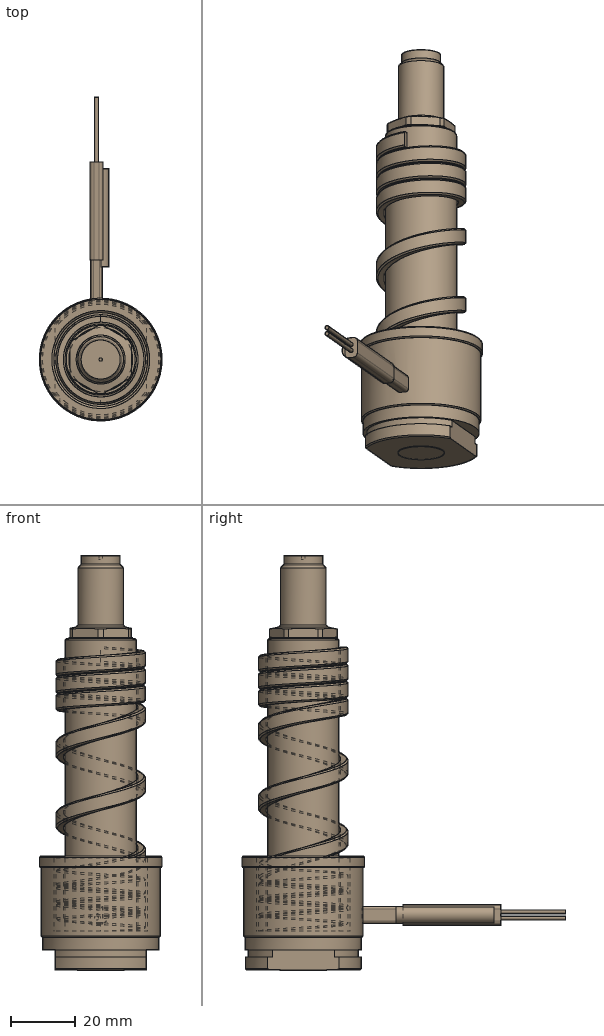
import cadquery as cq
import math

total_height = 128.2
foot_height = 0.3
groove_bottom = 4.2
groove_top = 6.4
cup_bottom = 10.3
cup_floor = 12.2
flange_bottom = 31.8
cup_top = 35.4
barrel_top = 102.5
nut_bottom = 103.0
nut_edge_top = 105.5
nut_top = 106.1
shaft_bottom = 106.8
shaft_top = 124.4
shaft_bevel_top = 125.1

foot_radius = 7.2
base_radius = 18.0
groove_radius = 17.0
cup_radius = 18.5
cup_bore_radius = 14.5
cup_bore_bevel = 0.6
flange_radius = 19.0
barrel_radius = 11.0
seat_radius = 9.9
shaft_radius = 7.0
shaft_bevel_radius = 6.4
tip_radius = 6.0
edge_break = 0.4

base_flat_width = 28.2
nut_across_flats = 19.0
nut_corner_radius = 10.5
nut_collar_radius = 7.5
centre_hole_radius = 0.5
centre_hole_depth = 1.3

spring_inner_radius = 11.5
spring_outer_radius = 13.8
spring_wire_height = 5.0
spring_wire_chamfer = 0.5
spring_top = 100.0
spring_end_angle = 90.0
closed_coil_gap = 0.32
closed_pitch = spring_wire_height + closed_coil_gap
open_pitch = 21.9
upper_closed_turns = 3.2
open_turns = 2.3
lower_closed_turns = 3.0
pitch_blend_turns = 0.2
points_per_turn = 12

cable_x = -1.3
cable_z = 17.2
cable_start = 16.7
cable_width = 3.6
cable_height = 5.4
cable_round = 0.9
sleeve_start = 30.8
sleeve_end = 61.0
sleeve_width = 4.1
sleeve_height = 6.4
sleeve_round = 1.3
wire_end = 81.0
wire_radius = 0.6
wire_spacing = 1.9
rod_start = 28.6
rod_end = 59.0
rod_x = 0.0
rod_radius = 2.5


def make_housing():
    """Revolved base, groove, hollow cup and flange, with two flats across the base."""
    profile = [
        (0, 0),
        (foot_radius, 0),
        (foot_radius, foot_height),
        (base_radius - edge_break, foot_height),
        (base_radius, foot_height + edge_break),
        (base_radius, groove_bottom),
        (groove_radius, groove_bottom),
        (groove_radius, groove_top),
        (base_radius, groove_top),
        (base_radius, cup_bottom),
        (cup_radius - edge_break, cup_bottom),
        (cup_radius, cup_bottom + edge_break),
        (cup_radius, flange_bottom),
        (flange_radius - edge_break, flange_bottom),
        (flange_radius, flange_bottom + edge_break),
        (flange_radius, cup_top - edge_break),
        (flange_radius - edge_break, cup_top),
        (cup_bore_radius + cup_bore_bevel, cup_top),
        (cup_bore_radius, cup_top - cup_bore_bevel),
        (cup_bore_radius, cup_floor),
        (0, cup_floor),
    ]
    housing = cq.Workplane("XZ").polyline(profile).close().revolve(360, (0, 0), (0, 1))
    stock_size = 4 * base_radius
    side_stock = (
        cq.Workplane("XY")
        .rect(stock_size, stock_size)
        .rect(base_flat_width, stock_size)
        .extrude(groove_top)
    )
    return housing.cut(side_stock)


def make_spindle():
    """Revolved barrel, shaft and tip with a small centre hole in the top."""
    profile = [
        (0, cup_floor),
        (barrel_radius, cup_floor),
        (barrel_radius, barrel_top - edge_break),
        (barrel_radius - edge_break, barrel_top),
        (seat_radius, barrel_top),
        (seat_radius, nut_bottom),
        (nut_collar_radius, nut_bottom),
        (nut_collar_radius, nut_top),
        (shaft_radius, shaft_bottom),
        (shaft_radius, shaft_top),
        (shaft_bevel_radius, shaft_bevel_top),
        (tip_radius, shaft_bevel_top + edge_break),
        (tip_radius, total_height),
        (0, total_height),
    ]
    spindle = cq.Workplane("XZ").polyline(profile).close().revolve(360, (0, 0), (0, 1))
    centre_hole = (
        cq.Workplane("XY", origin=(0, 0, total_height - centre_hole_depth))
        .circle(centre_hole_radius)
        .extrude(centre_hole_depth)
    )
    return spindle.cut(centre_hole)


def make_nut():
    """Hexagon with corners toward +Y and -Y, trimmed round and coned on top."""
    corner_diameter = nut_across_flats / math.cos(math.pi / 6)
    hexagon = (
        cq.Workplane("XY", origin=(0, 0, nut_bottom))
        .transformed(rotate=(0, 0, 90))
        .polygon(6, corner_diameter)
        .extrude(nut_top - nut_bottom)
    )
    envelope_profile = [
        (0, nut_bottom),
        (nut_corner_radius, nut_bottom),
        (nut_corner_radius, nut_edge_top),
        (nut_collar_radius, nut_top),
        (0, nut_top),
    ]
    envelope = cq.Workplane("XZ").polyline(envelope_profile).close().revolve(360, (0, 0), (0, 1))
    return hexagon.intersect(envelope)


def turns_past(turn, change):
    """Turns counted beyond a pitch change, eased in over the blend on both sides of it."""
    past = turn - change
    if past <= -pitch_blend_turns:
        return 0.0
    if past >= pitch_blend_turns:
        return past
    return (past + pitch_blend_turns) ** 2 / (4 * pitch_blend_turns)


def wire_centre_height(turn):
    """Mid-height of the wire after a number of turns down from the upper end."""
    stretched = turns_past(turn, upper_closed_turns) - turns_past(turn, upper_closed_turns + open_turns)
    drop = closed_pitch * turn + (open_pitch - closed_pitch) * stretched
    return spring_top - spring_wire_height / 2 - drop


def spring_edge(radius, offset):
    """Winding edge of the wire at a radius and at a height offset from its middle."""
    total_turns = upper_closed_turns + open_turns + lower_closed_turns
    steps = round(total_turns * points_per_turn)
    points = []
    for i in range(steps + 1):
        turn = total_turns * i / steps
        angle = math.radians(spring_end_angle) - 2 * math.pi * turn
        height = wire_centre_height(turn) + offset
        points.append(cq.Vector(radius * math.cos(angle), radius * math.sin(angle), height))
    return cq.Edge.makeSpline(points)


def make_spring():
    """Right-handed flat-wire spring with closed end coils; its foot is sunk into the cup floor."""
    half_height = spring_wire_height / 2
    bevel_radius = spring_outer_radius - spring_wire_chamfer
    bevel_height = half_height - spring_wire_chamfer
    section = [
        (spring_inner_radius, -half_height),
        (bevel_radius, -half_height),
        (spring_outer_radius, -bevel_height),
        (spring_outer_radius, bevel_height),
        (bevel_radius, half_height),
        (spring_inner_radius, half_height),
    ]
    edges = [spring_edge(radius, offset) for radius, offset in section]
    faces = [cq.Face.makeRuledSurface(edges[i - 1], edges[i]) for i in range(len(edges))]
    for end in (0, 1):
        corners = [edge.positionAt(end) for edge in edges]
        faces.append(cq.Face.makeFromWires(cq.Wire.makePolygon(corners, close=True)))
    return cq.Workplane(cq.Solid.makeSolid(cq.Shell.makeShell(faces)))


def rounded_bar(width, height, corner_round, start, end):
    """Bar along Y with rounded long edges, centred on the cable axis."""
    return (
        cq.Workplane("XY")
        .box(width, end - start, height)
        .edges("|Y")
        .fillet(corner_round)
        .translate((cable_x, (start + end) / 2, cable_z))
    )


def round_bar(radius, x, z, start, end):
    """Cylinder along Y."""
    return cq.Workplane("XZ", origin=(x, start, z)).circle(radius).extrude(start - end)


def make_cable():
    """Flat cable, sleeve, side rod and two bare wires."""
    cable = rounded_bar(cable_width, cable_height, cable_round, cable_start, sleeve_end)
    cable = cable.union(rounded_bar(sleeve_width, sleeve_height, sleeve_round, sleeve_start, sleeve_end))
    cable = cable.union(round_bar(rod_radius, rod_x, cable_z, rod_start, rod_end))
    for side in (-1, 1):
        wire_z = cable_z + side * wire_spacing / 2
        cable = cable.union(round_bar(wire_radius, cable_x, wire_z, sleeve_start, wire_end))
    return cable


result = make_housing().union(make_spindle()).union(make_nut()).union(make_cable()).union(make_spring())